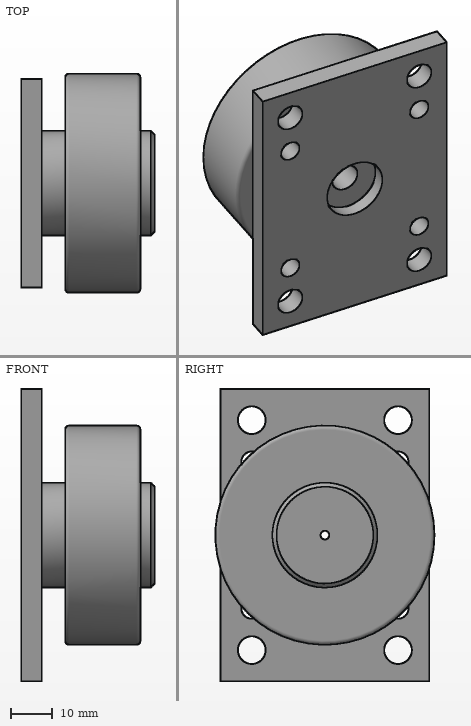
import cadquery as cq

plate_thickness = 5.0
plate_width = 50.0
plate_height = 70

total_length = 32.0
hub_diameter = 25.1
wheel_diameter = 52.5
wheel_start = 10.5
wheel_width = 18.05
edge_size = 1.0

hole_spacing_y = 35
bolt_hole_diameter = 6.6
bolt_hole_spacing_z = 55.0
inner_hole_diameter = 5.0
inner_hole_spacing_z = hole_spacing_y

mouth_diameter = 15.0
mouth_depth = 3.5
undercut_angle = 45
pilot_diameter = 6.8
pin_end_position = wheel_start
pin_chamfer = 0.35
passage_diameter = 2.0


def cylinder(diameter, start, end):
    """Cylinder along the X axis between two X positions."""
    return cq.Workplane("YZ", origin=(start, 0, 0)).circle(diameter / 2).extrude(end - start)


def make_plate():
    """Rectangular plate with four bolt holes and four smaller holes nearer the middle."""
    plate = cq.Workplane("YZ").rect(plate_width, plate_height).extrude(plate_thickness)
    for diameter, spacing_z in (
        (bolt_hole_diameter, bolt_hole_spacing_z),
        (inner_hole_diameter, inner_hole_spacing_z),
    ):
        holes = (
            cq.Workplane("YZ")
            .rect(hole_spacing_y, spacing_z, forConstruction=True)
            .vertices()
            .circle(diameter / 2)
            .extrude(plate_thickness)
        )
        plate = plate.cut(holes)
    return plate


def make_hub():
    """Round hub from the plate to the free end, where its rim is chamfered."""
    hub = cylinder(hub_diameter, plate_thickness, total_length)
    return hub.faces(">X").chamfer(edge_size)


def make_wheel():
    """Wheel with both rims rounded."""
    wheel = cylinder(wheel_diameter, wheel_start, wheel_start + wheel_width)
    return wheel.edges("%CIRCLE").fillet(edge_size)


def make_bore():
    """Plate opening that flares towards the hub, pilot hole to a chamfered pin end, and through passage."""
    mouth = cylinder(mouth_diameter, 0, mouth_depth)
    undercut = (
        cq.Workplane("YZ", origin=(mouth_depth, 0, 0))
        .circle(mouth_diameter / 2)
        .extrude(plate_thickness - mouth_depth, taper=-undercut_angle)
    )
    chamfer_end = pin_end_position + pin_chamfer
    pin = cylinder(pilot_diameter, pin_end_position, chamfer_end + pin_chamfer)
    pin = pin.faces("<X").chamfer(pin_chamfer)
    pilot = cylinder(pilot_diameter, plate_thickness, chamfer_end).cut(pin)
    passage = cylinder(passage_diameter, 0, total_length)
    return mouth.union(undercut).union(pilot).union(passage)


result = make_plate().union(make_hub()).union(make_wheel()).cut(make_bore())